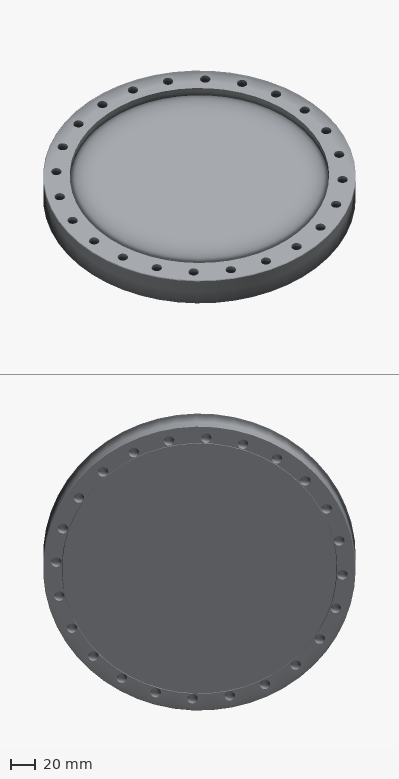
import cadquery as cq

outer_diameter = 253.0
height = 25.0
edge_chamfer = 0.5
opening_diameter = 210.0
recess_diameter = 223.0
lip_height = 7.8

bolt_count = 24
bolt_hole_diameter = 8.3
bolt_circle_diameter = 231.7
bolt_pitch_angle = 360 / bolt_count

disc_diameter = 222.1
recess_depth = height - lip_height


def make_bolt_holes():
    """Through cutters for the bolt circle, with the first hole half a pitch from +X."""
    return (
        cq.Workplane("XY")
        .polarArray(bolt_circle_diameter / 2, bolt_pitch_angle / 2, 360, bolt_count)
        .circle(bolt_hole_diameter / 2)
        .extrude(height)
    )


def make_ring():
    """Rotatable bolt ring with an inward lip above the recess for the disc."""
    ring = cq.Workplane("XY").circle(outer_diameter / 2).extrude(height)
    ring = ring.edges().chamfer(edge_chamfer)
    opening = cq.Workplane("XY").circle(opening_diameter / 2).extrude(height)
    recess = cq.Workplane("XY").circle(recess_diameter / 2).extrude(recess_depth)
    return ring.cut(opening).cut(recess).cut(make_bolt_holes())


def make_disc():
    """Flat blanking disc that fills the recess up to the underside of the lip."""
    return cq.Workplane("XY").circle(disc_diameter / 2).extrude(recess_depth)


ring = make_ring()
disc = make_disc()

result = cq.Compound.makeCompound([ring.solids().val(), disc.val()])